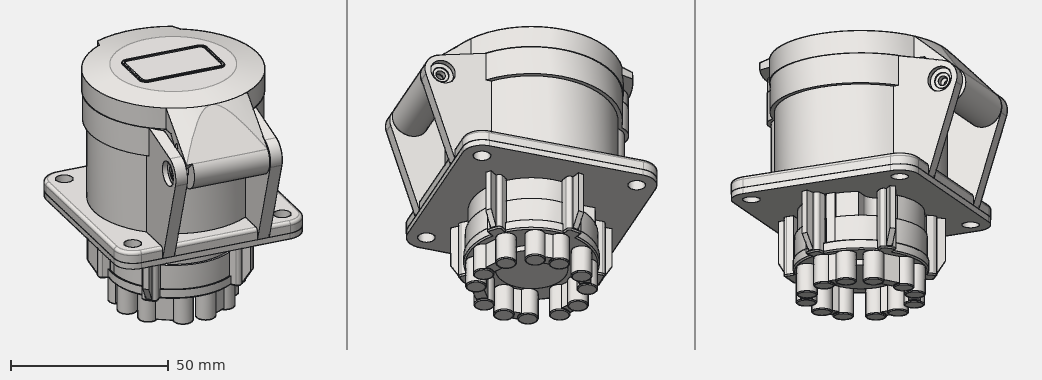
import cadquery as cq
import math

terminal_h = 9.45
flange_top = 12.7
pocket_floor = 21.0
gasket_bottom = 29.2
plate_bottom = 31.3
plate_top = 35.2
collar_bottom = 62.7
lid_bottom = 72.65
tab_bottom = 77.2
plateau_z = 81.7
overall_h = 82.1

plate_side = 65.0
plate_corner_r = 6.6
plate_edge_r = 1.15
gasket_setback = 0.065
hole_pitch = 52.05
hole_r = 2.8

barrel_r = 27.4
barrel_key_r = 5.5
barrel_key_reach = 30.95
collar_r = 28.8
collar_key_r = 6.65
collar_key_reach = 32.3

hinge_x = 36.45
hinge_z = 62.8
knuckle_r = 6.1
hinge_bore_r = 1.6
ear_in = 14.45
ear_out = 18.55
ear_top_x = 22.2
ear_root_x = 8.2
ear_recess_r = 4.1
ear_recess_depth = 1.8
ear_step_r = 2.6
ear_step_depth = 0.4

flange_r = 21.5
insert_chamfer = 0.5
drum_r = 21.0
neck_r = 20.2
rib_w = 3.0
rib_x = -0.65
left_pocket_x = -9.9
left_pocket_y = 8.9
right_pocket_x = 8.0
right_pocket_y = -9.9
pocket_r = 4.4
boss_r = 11.5
boss_bottom = 7.55

leg_angles = (40.5, 105.0, 255.0, 317.0)
leg_in = 20.8
foot_in = 19.4
leg_out = 24.5
leg_w = 5.4
leg_corner_r = 1.3
key_leg_w = 8.3
key_leg_y = -2.1
fin_out = 27.5
fin_w = 2.0
fin_taper_z = 15.1

terminal_r = 3.3
terminal_pitch_r = 17.65
terminal_chamfer = 0.3
web_thickness = 3.8
web_bottom = 0.65
first_pair_angle = 27.0
pair_half_angles = (16.0, 13.0, 13.0, 13.0, 13.0, 18.5)

lid_r = 29.1
plateau_r = 20.1
rim_z = 80.1
tab_r = 32.1
tab_half_w = 13.0
tab_root_x = -25.4
tab_outline_x = 32.8
tab_root_half_w = 14.1
lid_key_r = 6.9
frame_x = 17.7
frame_y = 29.55
frame_corner_r = 2.5
frame_w = 0.9
frame_chamfer = 0.25
arm_half_w = 14.1
arm_root_x = 16.4
arm_low_x = 29.0
knuckle_y_min = -12.1
spring_hole_r = 0.8
spring_hole_x = 33.4
spring_hole_z = 70.2


def disc(radius, z_from, z_to):
    return cq.Workplane("XY").workplane(offset=z_from).circle(radius).extrude(z_to - z_from)


def block(x_from, x_to, y_from, y_to, z_from, z_to):
    size = (x_to - x_from, y_to - y_from, z_to - z_from)
    return cq.Workplane("XY").box(*size, centered=False).translate((x_from, y_from, z_from))


def y_cylinder(radius, y_from, y_to, x=hinge_x, z=hinge_z):
    """Cylinder parallel to Y, on the hinge axis unless placed elsewhere."""
    along_y = cq.Workplane("XZ", origin=(x, y_from, z))
    return along_y.circle(radius).extrude(y_from - y_to)


def y_prism(points, y_from, y_to):
    """Prism with an (X, Z) outline between two Y positions."""
    return cq.Workplane("XZ", origin=(0, y_from, 0)).polyline(points).close().extrude(y_from - y_to)


def tangent_point(x, z, side):
    """Point where a line from (x, z) touches the knuckle circle; side +1 is the upper one."""
    to_point = math.atan2(z - hinge_z, x - hinge_x)
    spread = math.acos(knuckle_r / math.hypot(x - hinge_x, z - hinge_z))
    angle = to_point - side * spread
    return hinge_x + knuckle_r * math.cos(angle), hinge_z + knuckle_r * math.sin(angle)


def keyed_disc(radius, key_r, key_reach, z_from, z_to):
    """Round wall with a rounded key on its -X side."""
    key = disc(key_r, z_from, z_to).translate((key_r - key_reach, 0, 0))
    return disc(radius, z_from, z_to).union(key)


def mounting_plate():
    plate = block(-plate_side / 2, plate_side / 2, -plate_side / 2, plate_side / 2, plate_bottom, plate_top)
    plate = plate.edges("|Z").fillet(plate_corner_r)
    plate = plate.faces(">Z").edges().fillet(plate_edge_r)
    gasket_half = plate_side / 2 - gasket_setback
    gasket = block(-gasket_half, gasket_half, -gasket_half, gasket_half, gasket_bottom, plate_bottom)
    gasket = gasket.edges("|Z").fillet(plate_corner_r)
    holes = (
        cq.Workplane("XY").workplane(offset=gasket_bottom)
        .rect(hole_pitch, hole_pitch, forConstruction=True).vertices()
        .circle(hole_r).extrude(plate_top - gasket_bottom)
    )
    return plate.union(gasket).cut(holes)


def ear(side):
    """Hinge ear with a recessed bore; side is +1 for +Y and -1 for -Y."""
    upper = tangent_point(ear_top_x, lid_bottom, 1)
    lower = tangent_point(plate_side / 2, plate_bottom, -1)
    outline = [
        (ear_root_x, plate_bottom), (plate_side / 2, plate_bottom), lower,
        (hinge_x, hinge_z), upper, (ear_top_x, lid_bottom), (ear_root_x, lid_bottom),
    ]
    inner, outer = side * ear_in, side * ear_out
    recess_floor = outer - side * ear_recess_depth
    step_floor = recess_floor - side * ear_step_depth
    body = y_prism(outline, inner, outer).union(y_cylinder(knuckle_r, inner, outer))
    body = body.cut(y_cylinder(ear_recess_r, recess_floor, outer))
    body = body.cut(y_cylinder(ear_step_r, step_floor, outer))
    return body.cut(y_cylinder(hinge_bore_r, inner, outer))


def insert_drum():
    flange = disc(flange_r, terminal_h, flange_top).faces("<Z").chamfer(insert_chamfer)
    neck = disc(neck_r, pocket_floor, gasket_bottom)
    left_pocket = block(-flange_r, left_pocket_x, left_pocket_y, flange_r, pocket_floor, gasket_bottom)
    right_pocket = block(right_pocket_x, flange_r, -flange_r, right_pocket_y, pocket_floor, gasket_bottom)
    neck = neck.cut(left_pocket.edges("|Z and >X and <Y").fillet(pocket_r))
    neck = neck.cut(right_pocket.edges("|Z and <X and >Y").fillet(pocket_r))
    rib = block(rib_x - rib_w / 2, rib_x + rib_w / 2, -drum_r, 0, flange_top, gasket_bottom)
    boss = disc(boss_r, boss_bottom, terminal_h)
    return flange.union(disc(drum_r, flange_top, pocket_floor)).union(neck).union(rib).union(boss)


def leg(width):
    """Rounded post on the +X side with a tapered fin on its outer face."""
    post = block(leg_in, leg_out, -width / 2, width / 2, terminal_h, gasket_bottom)
    post = post.edges("|Z and >X").fillet(leg_corner_r)
    post = post.faces("<Z").edges("not <X").chamfer(insert_chamfer)
    foot = block(foot_in, leg_in, -width / 2, width / 2, terminal_h, flange_top)
    fin_outline = [
        (leg_in, terminal_h), (leg_out - insert_chamfer, terminal_h), (fin_out, fin_taper_z),
        (fin_out, gasket_bottom), (leg_in, gasket_bottom),
    ]
    return post.union(foot).union(y_prism(fin_outline, -fin_w / 2, fin_w / 2))


def turned(body, angle):
    return body.rotate((0, 0, 0), (0, 0, 1), angle)


def terminal_pair(half_angle):
    """Two round terminals joined by a flat web, either side of the X axis."""
    radial = terminal_pitch_r * math.cos(math.radians(half_angle))
    half_gap = terminal_pitch_r * math.sin(math.radians(half_angle))
    pair = block(
        radial - web_thickness / 2, radial + web_thickness / 2,
        -half_gap, half_gap, web_bottom, terminal_h,
    )
    for y in (-half_gap, half_gap):
        terminal = disc(terminal_r, 0, terminal_h).faces("<Z").chamfer(terminal_chamfer)
        pair = pair.union(terminal.translate((radial, y, 0)))
    return pair


def make_housing():
    body = mounting_plate()
    body = body.union(keyed_disc(barrel_r, barrel_key_r, barrel_key_reach, plate_top, collar_bottom))
    body = body.union(keyed_disc(collar_r, collar_key_r, collar_key_reach, collar_bottom, lid_bottom))
    body = body.union(ear(1)).union(ear(-1)).union(insert_drum())
    body = body.union(turned(leg(key_leg_w), 180).translate((0, key_leg_y, 0)))
    for angle in leg_angles:
        body = body.union(turned(leg(leg_w), angle))
    pair_spacing = 360 / len(pair_half_angles)
    for index, half_angle in enumerate(pair_half_angles):
        angle = first_pair_angle + index * pair_spacing
        body = body.union(turned(terminal_pair(half_angle), angle))
    return body


def lid_cap():
    """Disc whose top falls in a shallow cone, with an opening tab on the -X side."""
    fall = (plateau_z - rim_z) / (lid_r - plateau_r)
    tab_edge_z = plateau_z - fall * (tab_r - plateau_r)
    cone_outline = [
        (0, lid_bottom), (lid_r, lid_bottom), (lid_r, tab_bottom), (tab_r, tab_bottom),
        (tab_r, tab_edge_z), (plateau_r, plateau_z), (0, plateau_z),
    ]
    wide_cap = cq.Workplane("XZ").polyline(cone_outline).close().revolve(360, (0, 0, 0), (0, 1, 0))
    tab_edge_x = -math.sqrt(tab_r ** 2 - tab_half_w ** 2)
    tab_outline = [
        (0, -tab_root_half_w), (tab_root_x, -tab_root_half_w), (tab_edge_x, -tab_half_w),
        (-tab_outline_x, -tab_half_w), (-tab_outline_x, tab_half_w),
        (tab_edge_x, tab_half_w), (tab_root_x, tab_root_half_w), (0, tab_root_half_w),
    ]
    tab_prism = (
        cq.Workplane("XY").workplane(offset=lid_bottom)
        .polyline(tab_outline).close().extrude(plateau_z - lid_bottom)
    )
    cap = wide_cap.intersect(disc(lid_r, lid_bottom, plateau_z).union(tab_prism))
    key = disc(lid_key_r, lid_bottom, tab_bottom).translate((lid_key_r - tab_r, 0, 0))
    return cap.union(key)


def label_frame():
    """Raised rectangular ridge on the flat top."""
    base = cq.Workplane("XY").workplane(offset=plateau_z)
    height = overall_h - plateau_z
    frame = base.rect(frame_x, frame_y).extrude(height).edges("|Z").fillet(frame_corner_r)
    frame = frame.faces(">Z").edges().chamfer(frame_chamfer)
    window = base.rect(frame_x - 2 * frame_w, frame_y - 2 * frame_w).extrude(height)
    return frame.cut(window.edges("|Z").fillet(frame_corner_r - frame_w))


def hinge_arm():
    """Sloping arm from the lid to the knuckle, its flanks trimmed by a cone around the lid."""
    touch_x, touch_z = tangent_point(lid_r, rim_z, 1)
    normal_x = (touch_x - hinge_x) / knuckle_r
    normal_z = (touch_z - hinge_z) / knuckle_r
    thickness = (lid_r - arm_low_x) * normal_x + (rim_z - lid_bottom) * normal_z
    outline = [
        (arm_root_x, rim_z), (lid_r, rim_z), (touch_x, touch_z),
        (touch_x - thickness * normal_x, touch_z - thickness * normal_z),
        (arm_low_x, lid_bottom), (arm_root_x, lid_bottom),
    ]
    arm = y_prism(outline, -arm_half_w, arm_half_w)
    corner_r = math.hypot(touch_x, arm_half_w)
    cone_outline = [(0, hinge_z), (0, rim_z), (lid_r, rim_z), (corner_r, touch_z), (corner_r, hinge_z)]
    arm = arm.intersect(cq.Workplane("XZ").polyline(cone_outline).close().revolve(360, (0, 0, 0), (0, 1, 0)))
    spring_hole = y_cylinder(spring_hole_r, -arm_half_w, knuckle_y_min, spring_hole_x, spring_hole_z)
    arm = arm.cut(spring_hole).union(y_cylinder(knuckle_r, knuckle_y_min, arm_half_w))
    return arm.cut(y_cylinder(hinge_bore_r, -arm_half_w, arm_half_w))


def make_lid():
    return lid_cap().union(label_frame()).union(hinge_arm())


housing = make_housing()
lid = make_lid()
result = cq.Compound.makeCompound([housing.solids().val(), lid.solids().val()])